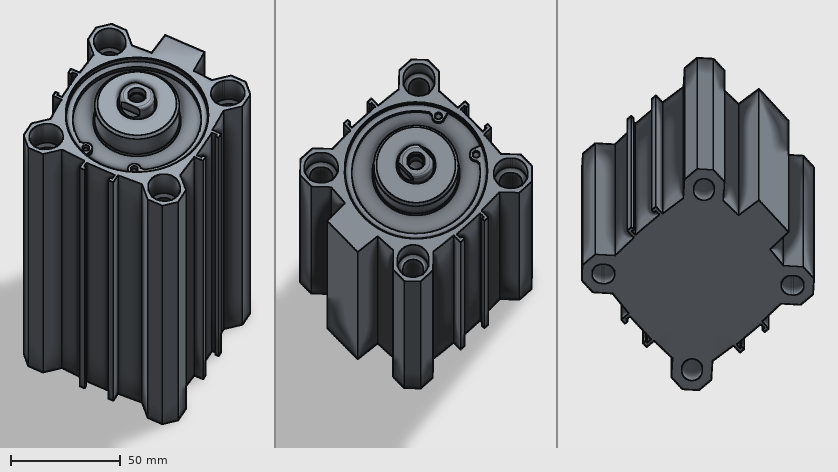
import cadquery as cq
import math


TOTAL_HEIGHT = 182.0
BODY_HEIGHT = 166.9
BOSS_TOP = 175.5
COVER_FACE = 162.0
BORE_FLOOR = 145.6

HALF_WIDTH = 40.0
LUG_CHAMFER = 5.3
LUG_INNER = 27.1
WALL_CORNER = 20.7
WALL_CORNER_OFFSET = 33.7
WALL_RAIL_OFFSET = 34.4
WALL_MIDDLE_OFFSET = 35.0
RAIL_OUTER = 8.7
RAIL_STEM = 1.5
RAIL_TIP_WIDTH = 2.5
RAIL_TIP_DEPTH = 1.6
RAIL_REACH = 39.0
PORT_BASE_HALF = 11.0
PORT_TOP_HALF = 10.2
PORT_REACH = 46.0

HOLE_OFFSET = 30.5
HOLE_STRETCH = 1.1
HOLE_WIDTH = 9.3
COUNTERBORE_WIDTH = 14.4
COUNTERBORE_DEPTH = 14.5

BORE_DIAMETER = 64.6
BORE_CHAMFER = 0.4
GROOVE_DIAMETER = 68.2
RING_INNER_DIAMETER = 58.6
RING_THICKNESS = 2.2
RING_GAP_HALF_ANGLE = 20.0
EYE_ANGLE = 25.9
EYE_CENTRE_RADIUS = 28.8
EYE_RADIUS = 3.0
EYE_HOLE_DIAMETER = 3.3
WEB_OUTER = 18.2
WEB_INNER = 12.7
WEB_TOP = -24.0
WEB_BOTTOM = -25.8

BOSS_DIAMETER = 38.5
BOSS_CHAMFER = 1.3
BOSS_BASE_CHAMFER = 0.7
ROD_CLEARANCE_DIAMETER = 17.7
ROD_CLEARANCE_DEPTH = 3.6
ROD_MOUTH_DIAMETER = 18.0

ROD_DIAMETER = 16.0
ROD_FILLET = 1.6
FLAT_OFFSET = 6.4
FLAT_BOTTOM = 176.9
THREAD_DIAMETER = 8.2
THREAD_DEPTH = 3.6
CORE_DIAMETER = 6.7
CORE_DEPTH = 11.0
CORE_TIP_HEIGHT = 0.4


def disc(diameter, bottom, top):
    return cq.Workplane("XY").workplane(offset=bottom).circle(diameter / 2).extrude(top - bottom)


def cone(bottom_diameter, top_diameter, bottom, top):
    return cq.Workplane(
        cq.Solid.makeCone(bottom_diameter / 2, top_diameter / 2, top - bottom, cq.Vector(0, 0, bottom))
    )



def profile_core():
    """Square body with a chamfered lug on each corner and slightly crowned walls."""
    side = [
        (-HALF_WIDTH + LUG_CHAMFER, -HALF_WIDTH),
        (-LUG_INNER, -HALF_WIDTH),
        (-WALL_CORNER, -WALL_CORNER_OFFSET),
        (-RAIL_OUTER, -WALL_RAIL_OFFSET),
        (-RAIL_OUTER, -WALL_MIDDLE_OFFSET),
        (RAIL_OUTER, -WALL_MIDDLE_OFFSET),
        (RAIL_OUTER, -WALL_RAIL_OFFSET),
        (WALL_CORNER, -WALL_CORNER_OFFSET),
        (LUG_INNER, -HALF_WIDTH),
        (HALF_WIDTH - LUG_CHAMFER, -HALF_WIDTH),
    ]
    outline = []
    for cosine, sine in [(1, 0), (0, 1), (-1, 0), (0, -1)]:
        outline += [(x * cosine - y * sine, x * sine + y * cosine) for x, y in side]
    return cq.Workplane("XY").polyline(outline).close().extrude(BODY_HEIGHT)


def rail_pair():
    """Two hooked sensor rails on the -Y wall, with their hooks facing each other."""
    hook = [
        (RAIL_OUTER, -WALL_CORNER_OFFSET),
        (RAIL_OUTER, -RAIL_REACH),
        (RAIL_OUTER - RAIL_TIP_WIDTH, -RAIL_REACH),
        (RAIL_OUTER - RAIL_TIP_WIDTH, -RAIL_REACH + RAIL_TIP_DEPTH),
        (RAIL_OUTER - RAIL_STEM, -RAIL_REACH + RAIL_TIP_DEPTH),
        (RAIL_OUTER - RAIL_STEM, -WALL_CORNER_OFFSET),
    ]
    rail = cq.Workplane("XY").polyline(hook).close().extrude(BODY_HEIGHT)
    return rail.union(rail.mirror("YZ"))


def port_block():
    outline = [
        (-PORT_BASE_HALF, WALL_CORNER_OFFSET),
        (PORT_BASE_HALF, WALL_CORNER_OFFSET),
        (PORT_TOP_HALF, PORT_REACH),
        (-PORT_TOP_HALF, PORT_REACH),
    ]
    return cq.Workplane("XY").polyline(outline).close().extrude(BODY_HEIGHT)


def corner_hole():
    """Stepped through hole in the +X +Y lug."""
    def slot(width, bottom):
        return (
            cq.Workplane("XY")
            .workplane(offset=bottom)
            .center(HOLE_OFFSET, HOLE_OFFSET)
            .slot2D(width + HOLE_STRETCH, width, 45)
            .extrude(BODY_HEIGHT - bottom)
        )

    return slot(HOLE_WIDTH, 0).union(slot(COUNTERBORE_WIDTH, BODY_HEIGHT - COUNTERBORE_DEPTH))


def make_housing():
    body = profile_core().union(port_block())
    for angle in (-90, 0, 90):
        body = body.union(rail_pair().rotate((0, 0, 0), (0, 0, 1), angle))
    for angle in (0, 90, 180, 270):
        body = body.cut(corner_hole().rotate((0, 0, 0), (0, 0, 1), angle))
    bore = disc(BORE_DIAMETER, BORE_FLOOR, BODY_HEIGHT)
    mouth = cone(
        BORE_DIAMETER, BORE_DIAMETER + 2 * BORE_CHAMFER, BODY_HEIGHT - BORE_CHAMFER, BODY_HEIGHT
    )
    groove = disc(GROOVE_DIAMETER, COVER_FACE, COVER_FACE + RING_THICKNESS)
    return body.cut(bore).cut(mouth).cut(groove)



def make_rod_cover():
    flange = disc(BORE_DIAMETER, BORE_FLOOR, COVER_FACE)
    boss = disc(BOSS_DIAMETER, COVER_FACE, BOSS_TOP).faces(">Z").chamfer(BOSS_CHAMFER)
    base = cone(
        BOSS_DIAMETER + 2 * BOSS_BASE_CHAMFER, BOSS_DIAMETER, COVER_FACE, COVER_FACE + BOSS_BASE_CHAMFER
    )
    rod_hole = disc(ROD_DIAMETER, BORE_FLOOR, BOSS_TOP)
    clearance = disc(ROD_CLEARANCE_DIAMETER, BOSS_TOP - ROD_CLEARANCE_DEPTH, BOSS_TOP)
    mouth_depth = (ROD_MOUTH_DIAMETER - ROD_CLEARANCE_DIAMETER) / 2
    mouth = cone(ROD_CLEARANCE_DIAMETER, ROD_MOUTH_DIAMETER, BOSS_TOP - mouth_depth, BOSS_TOP)
    return flange.union(boss).union(base).cut(rod_hole).cut(clearance).cut(mouth)



def make_snap_ring():
    """Open ring lying on the cover, with an eye at each end of its gap."""
    top = COVER_FACE + RING_THICKNESS
    ring = disc(GROOVE_DIAMETER, COVER_FACE, top).cut(disc(RING_INNER_DIAMETER, COVER_FACE, top))

    half_gap = math.radians(RING_GAP_HALF_ANGLE)
    gap_x = GROOVE_DIAMETER * math.sin(half_gap)
    gap_y = -GROOVE_DIAMETER * math.cos(half_gap)
    plane = cq.Workplane("XY").workplane(offset=COVER_FACE)
    ring = ring.cut(
        plane.polyline([(0, 0), (gap_x, gap_y), (-gap_x, gap_y)]).close().extrude(RING_THICKNESS)
    )

    eye_angle = math.radians(EYE_ANGLE)
    for side in (-1, 1):
        centre = (
            side * EYE_CENTRE_RADIUS * math.sin(eye_angle),
            -EYE_CENTRE_RADIUS * math.cos(eye_angle),
        )
        web = (
            plane.center(side * (WEB_INNER + WEB_OUTER) / 2, (WEB_TOP + WEB_BOTTOM) / 2)
            .rect(WEB_OUTER - WEB_INNER, WEB_TOP - WEB_BOTTOM)
            .extrude(RING_THICKNESS)
        )
        eye = plane.center(*centre).circle(EYE_RADIUS).extrude(RING_THICKNESS)
        eye_hole = plane.center(*centre).circle(EYE_HOLE_DIAMETER / 2).extrude(RING_THICKNESS)
        ring = ring.union(web).union(eye).cut(eye_hole)
    return ring



def flat_cutter():
    """Removes the -Y wrench flat, which runs out downward on a 45 degree slope."""
    run_out = ROD_DIAMETER / 2
    profile = [
        (-FLAT_OFFSET, TOTAL_HEIGHT),
        (-FLAT_OFFSET, FLAT_BOTTOM),
        (-FLAT_OFFSET - run_out, FLAT_BOTTOM - run_out),
        (-FLAT_OFFSET - run_out, TOTAL_HEIGHT),
    ]
    return cq.Workplane("YZ").polyline(profile).close().extrude(ROD_DIAMETER, both=True)


def make_piston_rod():
    rod = disc(ROD_DIAMETER, BORE_FLOOR, TOTAL_HEIGHT).faces(">Z").edges().fillet(ROD_FILLET)
    rod = rod.cut(flat_cutter()).cut(flat_cutter().mirror("XZ"))
    core_bottom = TOTAL_HEIGHT - CORE_DEPTH
    rod = rod.cut(disc(THREAD_DIAMETER, TOTAL_HEIGHT - THREAD_DEPTH, TOTAL_HEIGHT))
    rod = rod.cut(disc(CORE_DIAMETER, core_bottom, TOTAL_HEIGHT))
    return rod.cut(cone(0, CORE_DIAMETER, core_bottom - CORE_TIP_HEIGHT, core_bottom))


housing = make_housing()
rod_cover = make_rod_cover()
snap_ring = make_snap_ring()
piston_rod = make_piston_rod()

result = cq.Compound.makeCompound(
    [housing.val(), rod_cover.val(), snap_ring.val(), piston_rod.val()]
)